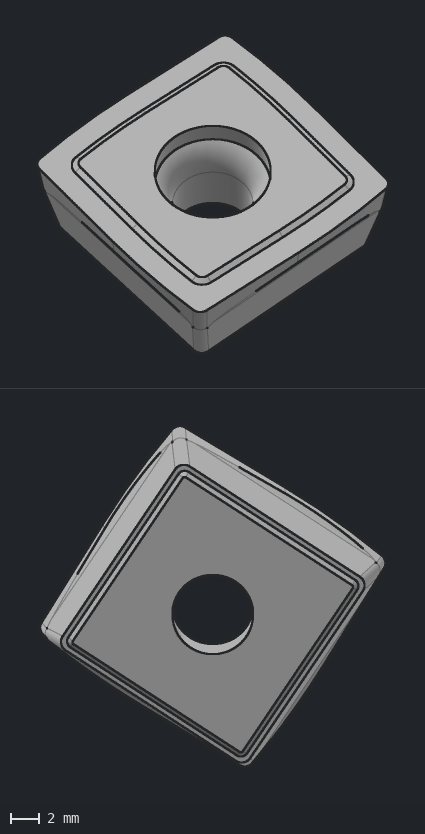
import cadquery as cq
import math

FOOT_TOP = 0.36
WAIST = 4.4
SCOOP_START = 4.68
RIM = 6.86
TOP = 7.1

HALF_WIDTH = 9.1
SIDE_ARC_START = 0.33
SIDE_ARC_RADIUS = 54.96
CORNER_RADIUS = 0.73
UPPER_RELIEF = 6.5
LOWER_RELIEF = 11.0

SCOOP_RADIUS = 2.28
SCOOP_RISE = 1.36
CUTTER_REACH = 3.64

PLATEAU_INSET = 1.73
PLATEAU_SLOPE_WIDTH = 0.47
PLATEAU_CORNER_RADIUS = 1.02

FOOT_LEDGE = 0.36
FOOT_CORNER_RADIUS = 0.51

SEAT_RADIUS = 4.0
BORE_RADIUS = 2.78
SEAT_DEPTH = 1.5
SEAT_CURVE_RADIUS = 2.48

SIDES = 4
SIDE_ANGLE = 360 / SIDES


def turn(point, degrees):
    """Rotate a plan point about the part axis."""
    x, y = point
    c = math.cos(math.radians(degrees))
    s = math.sin(math.radians(degrees))
    return (x * c - y * s, x * s + y * c)


def corner_center(inset, radius):
    """Centre of the corner round that joins the front side to the right side."""
    x = HALF_WIDTH - inset - radius
    arc_center_y = SIDE_ARC_RADIUS - HALF_WIDTH
    reach = SIDE_ARC_RADIUS - inset - radius
    return (x, arc_center_y - math.sqrt(reach**2 - (x - SIDE_ARC_START) ** 2))


WAIST_INSET = (RIM - WAIST) * math.tan(math.radians(UPPER_RELIEF))
WAIST_CORNER = corner_center(WAIST_INSET, CORNER_RADIUS)
TWIST = 45 + math.degrees(math.atan2(WAIST_CORNER[1], WAIST_CORNER[0]))
WAIST_HALF = math.hypot(*WAIST_CORNER) * math.sqrt(0.5) + CORNER_RADIUS
BASE_HALF = WAIST_HALF - (WAIST - FOOT_TOP) * math.tan(math.radians(LOWER_RELIEF))


def side_arc_point(inset, angle):
    """Point on the front side's arc, the angle (radians) measured from straight down."""
    radius = SIDE_ARC_RADIUS - inset
    x = SIDE_ARC_START + radius * math.sin(angle)
    return (x, SIDE_ARC_RADIUS - HALF_WIDTH - radius * math.cos(angle))


def curved_outline(z, inset, radius):
    """Four-sided outline with half-straight, half-curved sides, at height z."""
    center = corner_center(inset, radius)
    reach = SIDE_ARC_RADIUS - inset - radius
    arc_end = math.asin((center[0] - SIDE_ARC_START) / reach)
    corner_mid = (arc_end + math.pi / 2) / 2
    side_points = [
        side_arc_point(inset, 0),
        side_arc_point(inset, arc_end / 2),
        side_arc_point(inset, arc_end),
        (center[0] + radius * math.sin(corner_mid), center[1] - radius * math.cos(corner_mid)),
        (center[0] + radius, center[1]),
    ]
    side_start = turn((center[0] + radius, center[1]), -SIDE_ANGLE)
    outline = cq.Workplane("XY", origin=(0, 0, z)).moveTo(*side_start)
    for side in range(SIDES):
        angle = SIDE_ANGLE * side
        straight_end, arc_middle, arc_finish, round_middle, round_end = [
            turn(point, angle) for point in side_points
        ]
        outline = outline.lineTo(*straight_end)
        outline = outline.threePointArc(arc_middle, arc_finish)
        outline = outline.threePointArc(round_middle, round_end)
    return outline.close().val()


def square_outline(z, half, radius):
    """Rounded square turned by the lower body's twist, at height z."""
    straight = half - radius
    diagonal = straight + radius * math.sqrt(0.5)
    outline = cq.Workplane("XY", origin=(0, 0, z)).moveTo(*turn((-straight, -half), TWIST))
    for side in range(SIDES):
        angle = TWIST + SIDE_ANGLE * side
        outline = outline.lineTo(*turn((straight, -half), angle))
        outline = outline.threePointArc(
            turn((diagonal, -diagonal), angle),
            turn((half, -straight), angle),
        )
    return outline.close().val()


def loft(lower, upper):
    """Solid with straight flanks between two outlines."""
    return cq.Workplane(cq.Solid.makeLoft([lower, upper], True))


def upper_body():
    """Crown between the waist and the cutting edge."""
    return loft(
        curved_outline(WAIST, WAIST_INSET, CORNER_RADIUS),
        curved_outline(RIM, 0, CORNER_RADIUS),
    )


def scoop_cutter():
    """Bar that trims the crown's right side to the lower flank and the concave scoop."""
    relief = math.radians(LOWER_RELIEF)
    scoop_foot = WAIST_HALF + (SCOOP_START - WAIST) * math.tan(relief)
    center_out = scoop_foot + SCOOP_RADIUS * math.cos(relief)
    center_z = SCOOP_START - SCOOP_RADIUS * math.sin(relief)
    end_angle = math.asin((SCOOP_START + SCOOP_RISE - center_z) / SCOOP_RADIUS)
    middle_angle = (relief + end_angle) / 2

    def scoop_point(angle):
        out = center_out - SCOOP_RADIUS * math.cos(angle)
        return (out, center_z + SCOOP_RADIUS * math.sin(angle))

    far = WAIST_HALF + CUTTER_REACH
    profile = (
        cq.Workplane("XZ")
        .moveTo(WAIST_HALF, WAIST)
        .lineTo(scoop_foot, SCOOP_START)
        .threePointArc(scoop_point(middle_angle), scoop_point(end_angle))
        .lineTo(far, SCOOP_START + SCOOP_RISE)
        .lineTo(far, WAIST)
        .close()
    )
    return profile.extrude(far, both=True).rotate((0, 0, 0), (0, 0, 1), TWIST)


def lower_body():
    """Tapered block between the foot and the waist."""
    return loft(
        square_outline(FOOT_TOP, BASE_HALF, CORNER_RADIUS),
        square_outline(WAIST, WAIST_HALF, CORNER_RADIUS),
    )


def foot():
    """Shallow pad with 45 degree sides, set in from the body to leave a ledge."""
    half = BASE_HALF - FOOT_LEDGE
    return loft(
        square_outline(0, half - FOOT_TOP, FOOT_CORNER_RADIUS - FOOT_TOP),
        square_outline(FOOT_TOP, half, FOOT_CORNER_RADIUS),
    )


def plateau():
    """Raised centre of the rake face with sloping sides."""
    top_inset = PLATEAU_INSET + PLATEAU_SLOPE_WIDTH
    top_corner = PLATEAU_CORNER_RADIUS - PLATEAU_SLOPE_WIDTH
    return loft(
        curved_outline(RIM, PLATEAU_INSET, PLATEAU_CORNER_RADIUS),
        curved_outline(TOP, top_inset, top_corner),
    )


def screw_hole():
    """Bore with a straight-walled recess and a convex seat that runs tangent into it."""
    seat_z = TOP - SEAT_DEPTH
    sweep = math.acos(1 - (SEAT_RADIUS - BORE_RADIUS) / SEAT_CURVE_RADIUS)
    bore_z = seat_z - SEAT_CURVE_RADIUS * math.sin(sweep)
    seat_middle = (
        BORE_RADIUS + SEAT_CURVE_RADIUS * (1 - math.cos(sweep / 2)),
        bore_z + SEAT_CURVE_RADIUS * math.sin(sweep / 2),
    )
    profile = (
        cq.Workplane("XZ")
        .lineTo(BORE_RADIUS, 0)
        .lineTo(BORE_RADIUS, bore_z)
        .threePointArc(seat_middle, (SEAT_RADIUS, seat_z))
        .lineTo(SEAT_RADIUS, TOP)
        .lineTo(0, TOP)
        .close()
    )
    return profile.revolve(360, (0, 0), (0, 1))


crown = upper_body()
for side in range(SIDES):
    crown = crown.cut(scoop_cutter().rotate((0, 0, 0), (0, 0, 1), SIDE_ANGLE * side))

result = crown.union(lower_body()).union(foot()).union(plateau()).cut(screw_hole())